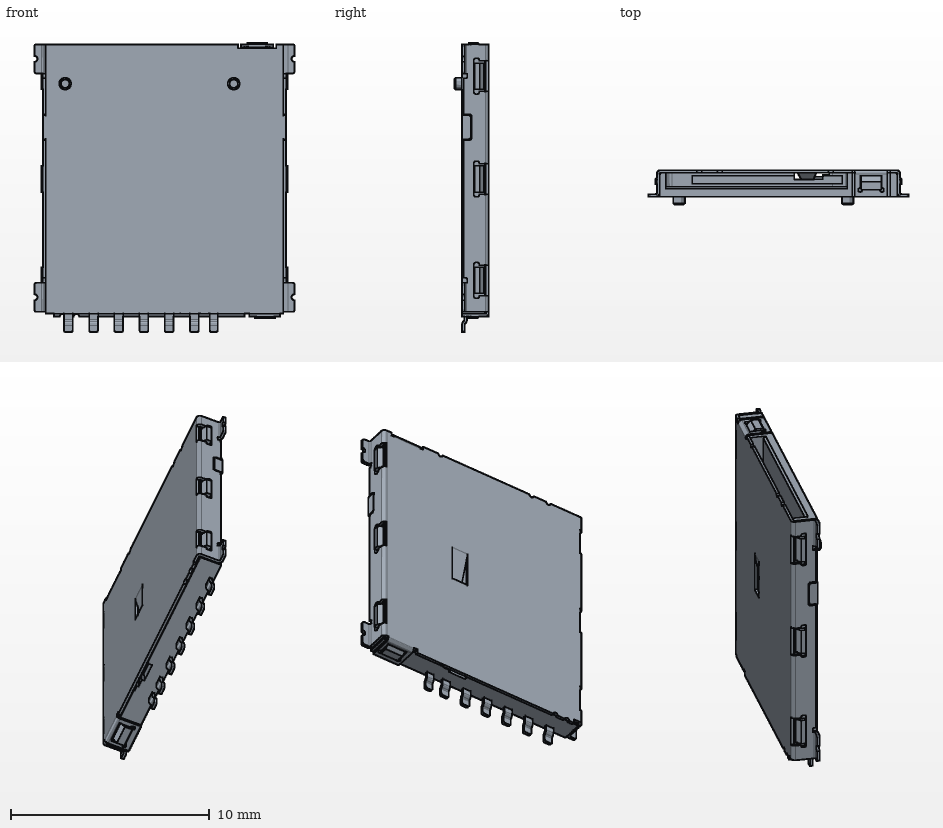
import cadquery as cq
import math

sheet = 0.15
bend_inner = 0.05
bend_outer = bend_inner + sheet

back_y = 0.87
front_y = -0.48
boss_tip_y = -0.87
half_width = 6.12
flange_tip_x = 6.54

top_z = 7.2
bottom_z = -6.35
wall_bottom_z = -6.27
lug_top_z = 7.28
contact_tip_z = -7.28

housing_back_y = back_y - sheet
housing_half = half_width - sheet
plate_bottom_z = bottom_z - sheet

back_chamfer = 0.06
slot_left_x = -5.68
slot_right_x = 3.45
slot_front_y = -0.07
slot_floor_z = -4.95
slot_lead_in = 0.12
slot_left_radius = 0.3
slot_right_radius = 0.76
pocket_x = (-4.34, 3.2)
pocket_y = (0.17, 0.58)
pocket_depth = 0.58
drain_x = (0.8, 2.23)
drain_front_y = 0.41
drain_recess_depth = 0.29
drain_step_x = 1.79
drain_step_y = 0.54
drain_side_x = 2.55
drain_side_y = 0.63
boss_x = (-5.0, 3.48)
boss_z = 5.22
boss_diameter = 0.6
boss_chamfer = 0.09
pad_z = (2.43, 3.63)
pad_back_y = -0.05
pad_corner = 0.09
pad_gap = 0.06

side_latch_z = (5.6, 0.42, -4.68)
side_lug_x = 6.19
side_ramp_start_y = 0.63
side_lug_length = 1.31
side_lug_front_y = 0.16
side_window_length = 1.55
side_window_front_y = 0.12
relief_length = 1.8
relief_width = 0.28
relief_radius = 0.12
end_tab_root = 2 * bend_outer
end_lug_front_y = -0.13
end_lug_crest_y = 0.29
end_window_gap = 0.05
end_window_relief_radius = 0.1
top_tab_x = (3.85, 5.48)
top_lug_x = (4.15, 5.16)
top_notch_x = (3.7, 5.61)
top_notch_z = 7.0
bottom_tab_x = (4.25, 5.81)
bottom_lug_x = (4.55, 5.58)
bottom_lug_z = -6.59

flange_length = 1.47
flange_bend_inner = 0.07
flange_root_y = 0.0
flange_corner = 0.1
flange_notch_radius = 0.15
flange_bottom_z = (wall_bottom_z, top_z - flange_length)
flange_relief_height = 0.25
flange_relief_y = -0.22
flange_relief_radius = 0.09
wall_front_y = -0.38
edge_notch_radius = 0.13
top_edge_notch_x = (-3.99, -2.96, 2.62)
bottom_edge_x = (-5.57, 4.04)
bottom_edge_notch_x = (-5.13, -4.43)
tongue_top_x = (0.96, 1.9)
tongue_tip_x = (1.14, 1.78)
tongue_root_z = 1.45
tongue_length = 2.04
tongue_drop = 0.34

contact_pitch = 1.27
first_contact_x = -4.84
wide_contact_count = 6
contact_width = 0.45
last_contact_x = 2.48
last_contact_width = 0.41
contact_thickness = 0.15
contact_bend_inner = 0.124
contact_bend_angle = 45.0
contact_bend_z = -6.65
contact_insertion = 0.58
contact_tip_corner = 0.1


def block(x_range, y_range, z_range):
    """Box between the given limits along each axis."""
    size = [abs(r[1] - r[0]) for r in (x_range, y_range, z_range)]
    low = cq.Vector(min(x_range), min(y_range), min(z_range))
    return cq.Workplane(cq.Solid.makeBox(*size, low))


def yz_prism(points, x_range):
    """Prism along X over a polygon of (y, z) points."""
    profile = cq.Workplane("YZ", origin=(x_range[0], 0, 0)).polyline(points).close()
    return profile.extrude(x_range[1] - x_range[0])


def span(center, length):
    """Limits of a length centred on a coordinate."""
    return (center - length / 2, center + length / 2)


def mirror_x(body):
    return body.mirror("YZ")


def card_slot():
    slot_y = (slot_front_y + slot_lead_in, housing_back_y)
    slot = block((slot_left_x, slot_right_x), slot_y, (slot_floor_z, top_z))
    slot = slot.edges("|Y and <X and <Z").fillet(slot_left_radius)
    slot = slot.edges("|Y and >X and <Z").fillet(slot_right_radius)
    lead_in = yz_prism(
        [
            (slot_front_y, top_z),
            (slot_front_y + slot_lead_in, top_z - slot_lead_in),
            (housing_back_y, top_z - slot_lead_in),
            (housing_back_y, top_z),
        ],
        (slot_left_x, slot_right_x),
    )
    pocket_floor_z = slot_floor_z - pocket_depth
    slot = slot.union(lead_in)
    return slot.union(block(pocket_x, pocket_y, (pocket_floor_z, slot_floor_z + slot_right_radius)))


def drain():
    """Opening from the slot through the bottom end, stepped towards +X."""
    recess_z = slot_floor_z - pocket_depth - drain_recess_depth
    recess = block(drain_x, (drain_front_y, housing_back_y), (recess_z, slot_floor_z))
    outline = cq.Workplane("XY", origin=(0, 0, bottom_z)).polyline(
        [
            (drain_x[0], drain_front_y),
            (drain_step_x, drain_front_y),
            (drain_step_x, drain_step_y),
            (drain_x[1], drain_step_y),
            (drain_x[1], drain_side_y),
            (drain_side_x, drain_side_y),
            (drain_side_x, housing_back_y),
            (drain_x[0], housing_back_y),
        ]
    )
    return recess.union(outline.close().extrude(slot_floor_z - bottom_z))


def side_lug(z_center):
    """Latch lug on the -X side with a 45 degree ramp towards the back."""
    rise = side_lug_x - housing_half
    profile = cq.Workplane("XY", origin=(0, 0, z_center - side_lug_length / 2)).polyline(
        [
            (-housing_half, side_ramp_start_y),
            (-side_lug_x, side_ramp_start_y - rise),
            (-side_lug_x, side_lug_front_y),
            (-housing_half, side_lug_front_y),
        ]
    )
    return profile.close().extrude(side_lug_length)


def end_lug(x_range, base_z, crest_z):
    """Latch lug on the top or bottom end with a 45 degree ramp towards the back."""
    rise = abs(crest_z - base_z)
    points = [
        (end_lug_front_y, base_z),
        (end_lug_front_y, crest_z),
        (end_lug_crest_y, crest_z),
        (end_lug_crest_y + rise, base_z),
    ]
    return yz_prism(points, x_range)


def side_pad():
    """Raised pad on the -X side that fills the notch in the shell wall."""
    pad = block((-half_width, -housing_half), (front_y, pad_back_y), pad_z)
    return pad.edges("|X and >Y").fillet(pad_corner)


def boss(x):
    plane = cq.Workplane("XZ", origin=(x, front_y, boss_z))
    return plane.circle(boss_diameter / 2).extrude(front_y - boss_tip_y).faces("<Y").chamfer(boss_chamfer)


def make_housing():
    body = block((-housing_half, housing_half), (front_y, housing_back_y), (bottom_z, top_z))
    body = body.edges("(|Z and >Y) or (|X and >Y and <Z)").chamfer(back_chamfer)
    body = body.cut(card_slot()).cut(drain())
    body = body.cut(block(top_notch_x, (front_y, housing_back_y), (top_notch_z, top_z)))
    body = body.union(end_lug(top_lug_x, top_notch_z, lug_top_z))
    body = body.union(end_lug(bottom_lug_x, bottom_z, bottom_lug_z))
    side_features = [side_pad()] + [side_lug(z) for z in side_latch_z]
    for feature in side_features:
        body = body.union(feature).union(mirror_x(feature))
    for x in boss_x:
        body = body.union(boss(x))
    return body


def channel():
    """Back plate with both side walls."""
    body = block((-half_width, half_width), (wall_front_y, back_y), (wall_bottom_z, top_z))
    body = body.edges("|Z and >Y").fillet(bend_outer)
    inside = block((-housing_half, housing_half), (wall_front_y, housing_back_y), (wall_bottom_z, top_z))
    return body.cut(inside.edges("|Z and >Y").fillet(bend_inner))


def flange(z_bottom):
    """Solder flange bent outwards from the -X wall, with a round notch in its tip."""
    outer = flange_bend_inner + sheet
    center_x = -half_width - flange_bend_inner
    center_y = front_y + outer
    diagonal = math.sqrt(0.5)
    profile = (
        cq.Workplane("XY", origin=(0, 0, z_bottom))
        .moveTo(-half_width, center_y)
        .threePointArc(
            (center_x + flange_bend_inner * diagonal, center_y - flange_bend_inner * diagonal),
            (center_x, front_y + sheet),
        )
        .lineTo(-flange_tip_x, front_y + sheet)
        .lineTo(-flange_tip_x, front_y)
        .lineTo(center_x, front_y)
        .threePointArc(
            (center_x + outer * diagonal, center_y - outer * diagonal),
            (-housing_half, center_y),
        )
        .close()
    )
    body = profile.extrude(flange_length).edges("|Y and <X").fillet(flange_corner)
    notch = cq.Workplane("XZ", origin=(-flange_tip_x, 0, z_bottom + flange_length / 2))
    return body.cut(notch.circle(flange_notch_radius).extrude(sheet - front_y))


def flange_relief(z_bottom):
    """Clears the wall edge below the bend and beside the flange."""
    middle_z = (top_z + wall_bottom_z) / 2
    beside_z = z_bottom + flange_length
    z_range = (z_bottom, beside_z + flange_relief_height)
    if z_bottom > middle_z:
        z_range = (z_bottom - flange_relief_height, beside_z)
    relief = block((-half_width, -housing_half), (flange_relief_y, wall_front_y), z_range)
    return relief.edges("|X and >Y").fillet(flange_relief_radius)


def side_window(z_center):
    """Window for a side lug: takes in the whole bend and widens at its front end."""
    x_range = (-half_width, -half_width + bend_outer)
    window = block(x_range, (side_window_front_y, back_y), span(z_center, side_window_length))
    relief_y = (side_window_front_y, side_window_front_y + relief_width)
    relief = block(x_range, relief_y, span(z_center, relief_length)).edges("|X").fillet(relief_radius)
    return window.union(relief)


def pad_notch():
    """Notch in the -X wall around the housing pad."""
    z_range = (pad_z[0] - pad_gap, pad_z[1] + pad_gap)
    notch = block((-half_width, -housing_half), (wall_front_y, pad_back_y + pad_gap), z_range)
    return notch.edges("|X and >Y").fillet(pad_corner + pad_gap)


def end_tab(x_range, outer_z, lug_x):
    """Tab bent forwards from the back plate over one end, with a window for the end lug."""
    inward = -math.copysign(1, outer_z)
    root_z = outer_z + inward * end_tab_root
    inner_z = outer_z + inward * sheet
    body = block(x_range, (front_y, back_y), (root_z, outer_z))
    end = ">Z" if outer_z > 0 else "<Z"
    body = body.edges(f"|X and >Y and {end}").fillet(bend_outer)
    inside = block(x_range, (front_y, housing_back_y), (root_z, inner_z))
    body = body.cut(inside.edges(f"|X and >Y and {end}").fillet(bend_inner))
    window_x = (lug_x[0] - end_window_gap, lug_x[1] + end_window_gap)
    ramp_end_y = end_lug_crest_y + lug_top_z - top_notch_z
    window_y = (end_lug_front_y, ramp_end_y)
    body = body.cut(block(window_x, window_y, (inner_z, outer_z)))
    corners = [(x, end_lug_front_y) for x in window_x]
    reliefs = cq.Workplane("XY", origin=(0, 0, min(inner_z, outer_z))).pushPoints(corners)
    return body.cut(reliefs.circle(end_window_relief_radius).extrude(sheet))


def edge_notch(x, edge_z):
    """Half-round notch through an end edge of the back plate."""
    plane = cq.Workplane("XZ", origin=(x, back_y, edge_z))
    return plane.circle(edge_notch_radius).extrude(sheet)


def tongue_opening():
    tip_z = tongue_root_z - tongue_length
    return block(tongue_top_x, (housing_back_y, back_y), (tip_z, tongue_root_z))


def spring_tongue():
    """Tapered tongue sloping from the back plate into the card slot."""
    tip_z = tongue_root_z - tongue_length
    side = yz_prism(
        [
            (back_y, tongue_root_z),
            (housing_back_y, tongue_root_z),
            (housing_back_y - tongue_drop, tip_z),
            (back_y - tongue_drop, tip_z),
        ],
        tongue_top_x,
    )
    taper = cq.Workplane("XZ", origin=(0, back_y, 0)).polyline(
        [
            (tongue_top_x[0], tongue_root_z),
            (tongue_top_x[1], tongue_root_z),
            (tongue_tip_x[1], tip_z),
            (tongue_tip_x[0], tip_z),
        ]
    )
    return side.intersect(taper.close().extrude(back_y - front_y))


def make_shell():
    body = channel()
    body = body.union(block(bottom_edge_x, (housing_back_y, back_y), (plate_bottom_z, wall_bottom_z)))
    side_cuts = [pad_notch()]
    side_cuts += [flange_relief(z) for z in flange_bottom_z]
    side_cuts += [side_window(z) for z in side_latch_z]
    body = body.cut(block(top_notch_x, (housing_back_y, back_y), (top_z - bend_outer, top_z)))
    for x in top_edge_notch_x:
        body = body.cut(edge_notch(x, top_z))
    for x in bottom_edge_notch_x:
        body = body.cut(edge_notch(x, plate_bottom_z))
    for cutter in side_cuts:
        body = body.cut(cutter).cut(mirror_x(cutter))
    for z in flange_bottom_z:
        bend_top_y = front_y + sheet + flange_bend_inner
        wall_strip = block((-half_width, -housing_half), (bend_top_y, flange_root_y), (z, z + flange_length))
        tab = flange(z).union(wall_strip)
        body = body.union(tab).union(mirror_x(tab))
    body = body.union(end_tab(top_tab_x, top_z, top_lug_x))
    body = body.union(end_tab(bottom_tab_x, plate_bottom_z, bottom_lug_x))
    return body.cut(tongue_opening()).union(spring_tongue())


def make_contact(x, width):
    """Flat contact with an S-bend of two equal and opposite turns down to its solder foot."""
    inner = contact_bend_inner
    outer = inner + contact_thickness
    arm_front_y = front_y + (inner + outer) * (1 - math.cos(math.radians(contact_bend_angle)))
    upper = (arm_front_y - inner, contact_bend_z)

    def on_arc(center, radius, degrees):
        angle = math.radians(degrees)
        return (center[0] + radius * math.cos(angle), center[1] + radius * math.sin(angle))

    lower = on_arc(upper, inner + outer, -contact_bend_angle)
    half_turn = contact_bend_angle / 2
    inserted_z = bottom_z + contact_insertion
    profile = (
        cq.Workplane("YZ", origin=(x - width / 2, 0, 0))
        .moveTo(arm_front_y, inserted_z)
        .lineTo(*on_arc(upper, inner, 0))
        .threePointArc(on_arc(upper, inner, -half_turn), on_arc(upper, inner, -contact_bend_angle))
        .threePointArc(on_arc(lower, outer, 180 - half_turn), on_arc(lower, outer, 180))
        .lineTo(lower[0] - outer, contact_tip_z)
        .lineTo(lower[0] - inner, contact_tip_z)
        .lineTo(*on_arc(lower, inner, 180))
        .threePointArc(on_arc(lower, inner, 180 - half_turn), on_arc(lower, inner, 180 - contact_bend_angle))
        .threePointArc(on_arc(upper, outer, -half_turn), on_arc(upper, outer, 0))
        .lineTo(arm_front_y + contact_thickness, inserted_z)
        .close()
    )
    return profile.extrude(width).edges("|Y and <Z").fillet(contact_tip_corner)


contacts = []
for index in range(wide_contact_count):
    contacts.append(make_contact(first_contact_x + index * contact_pitch, contact_width))
contacts.append(make_contact(last_contact_x, last_contact_width))

housing = make_housing()
for contact in contacts:
    housing = housing.cut(contact)
shell = make_shell()

result = cq.Compound.makeCompound(
    [housing.solids().val(), shell.solids().val(), *[contact.solids().val() for contact in contacts]]
)